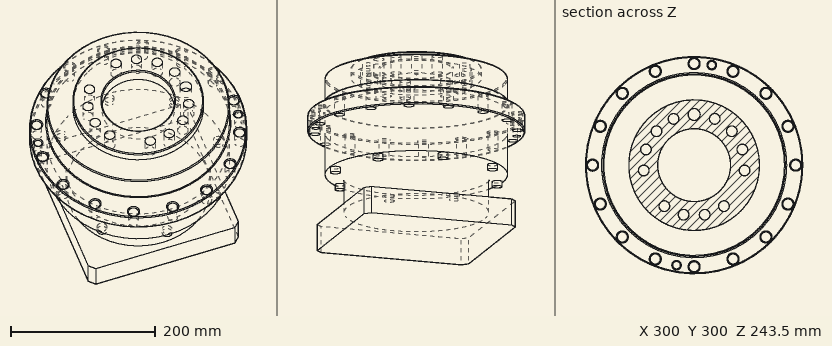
import cadquery as cq
import math

plate_top = 37.5
body_bottom = 91.8
flange_bottom = 152.5
flange_top = 177.3
rim_top = 193.0
body_top = 230.5
hub_top = 243.5

flange_radius = 150.0
rim_radius = 127.8
body_radius = 126.0
neck_radius = 100.0
hub_radius = 90.3
bore_radius = 50.0

edge_chamfer = 1.5
flange_root_fillet = 1.8
neck_root_fillet = 10.0

plate_side = 220.2

bore_depth = 20.0

hub_circle_radius = 70.0
hub_pitch_angle = 360 / 15
tapped_hole_pitches = (1, 2, 3, 4, 6, 7)
tapped_hole_radius = 7.2
tapped_hole_depth = 24.0
drill_tip_angle = 118
dowel_hole_radius = 8.0
dowel_hole_depth = 15.0

flange_circle_radius = 140.0
bolt_hole_count = 16
bolt_hole_radius = 7.0
jack_hole_radius = 5.0
jack_hole_angles = (80, 260)
hole_chamfer = 1.5

screw_count = 8
screw_circle_radius = 117.5
screw_radius = 7.0
screw_height = 7.2


def polar(radius, angle):
    """XY position on a circle about the Z axis, angle in degrees."""
    turn = math.radians(angle)
    return radius * math.cos(turn), radius * math.sin(turn)


def make_turned_body():
    """Neck, body, flange, rim and hub revolved about Z as one profile."""
    fillet_bulge = 1 - math.sqrt(0.5)
    neck_arc = neck_root_fillet * fillet_bulge
    flange_arc = flange_root_fillet * fillet_bulge
    profile = (
        cq.Workplane("XZ")
        .moveTo(0, plate_top)
        .lineTo(neck_radius, plate_top)
        .lineTo(neck_radius, body_bottom - neck_root_fillet)
        .threePointArc(
            (neck_radius + neck_arc, body_bottom - neck_arc),
            (neck_radius + neck_root_fillet, body_bottom),
        )
        .lineTo(body_radius, body_bottom)
        .lineTo(body_radius, flange_bottom - flange_root_fillet)
        .threePointArc(
            (body_radius + flange_arc, flange_bottom - flange_arc),
            (body_radius + flange_root_fillet, flange_bottom),
        )
        .lineTo(flange_radius - edge_chamfer, flange_bottom)
        .lineTo(flange_radius, flange_bottom + edge_chamfer)
        .lineTo(flange_radius, flange_top - edge_chamfer)
        .lineTo(flange_radius - edge_chamfer, flange_top)
        .lineTo(rim_radius + flange_root_fillet, flange_top)
        .threePointArc(
            (rim_radius + flange_arc, flange_top + flange_arc),
            (rim_radius, flange_top + flange_root_fillet),
        )
        .lineTo(rim_radius, rim_top)
        .lineTo(body_radius, rim_top)
        .lineTo(body_radius, body_top - edge_chamfer)
        .lineTo(body_radius - edge_chamfer, body_top)
        .lineTo(hub_radius, body_top)
        .lineTo(hub_radius, hub_top - edge_chamfer)
        .lineTo(hub_radius - edge_chamfer, hub_top)
        .lineTo(bore_radius + edge_chamfer, hub_top)
        .lineTo(bore_radius, hub_top - edge_chamfer)
        .lineTo(bore_radius, hub_top - bore_depth)
        .lineTo(0, hub_top - bore_depth)
        .close()
    )
    return profile.revolve(360, (0, 0, 0), (0, 1, 0))


def make_plate():
    """Square plate whose corners are trimmed by the flange cylinder."""
    square = cq.Workplane("XY").rect(plate_side, plate_side).extrude(plate_top)
    corner_cylinder = cq.Workplane("XY").circle(flange_radius).extrude(plate_top)
    return square.intersect(corner_cylinder)


def make_screw_heads():
    """Ring of plain round heads hanging from the underside of the body."""
    return (
        cq.Workplane("XY", origin=(0, 0, body_bottom - screw_height))
        .polarArray(screw_circle_radius, 0, 360, screw_count)
        .circle(screw_radius)
        .extrude(screw_height)
    )


def make_tapped_holes():
    """Drilled blind holes in the hub face, mirrored about the YZ plane."""
    tip_depth = tapped_hole_radius / math.tan(math.radians(drill_tip_angle / 2))
    drill = (
        cq.Workplane("XZ")
        .moveTo(0, hub_top)
        .lineTo(tapped_hole_radius, hub_top)
        .lineTo(tapped_hole_radius, hub_top - tapped_hole_depth)
        .lineTo(0, hub_top - tapped_hole_depth - tip_depth)
        .close()
        .revolve(360, (0, 0, 0), (0, 1, 0))
    )
    drills = cq.Workplane("XY")
    for pitch in tapped_hole_pitches:
        for side in (-1, 1):
            x, y = polar(hub_circle_radius, 90 + side * pitch * hub_pitch_angle)
            drills = drills.add(drill.translate((x, y, 0)))
    return drills.combine()


def make_dowel_hole():
    """Flat-bottomed hole in the hub face on the +Y side."""
    return (
        cq.Workplane("XY", origin=(0, hub_circle_radius, hub_top - dowel_hole_depth))
        .circle(dowel_hole_radius)
        .extrude(dowel_hole_depth)
    )


def make_flange_hole(radius, angle):
    """Through hole in the flange, chamfered at its upper mouth."""
    x, y = polar(flange_circle_radius, angle)
    mouth_radius = radius + hole_chamfer
    return (
        cq.Workplane("XZ")
        .moveTo(0, flange_bottom)
        .lineTo(radius, flange_bottom)
        .lineTo(radius, flange_top - hole_chamfer)
        .lineTo(mouth_radius, flange_top)
        .lineTo(0, flange_top)
        .close()
        .revolve(360, (0, 0, 0), (0, 1, 0))
        .translate((x, y, 0))
    )


result = make_turned_body().union(make_plate()).union(make_screw_heads())
result = result.cut(make_tapped_holes()).cut(make_dowel_hole())

for index in range(bolt_hole_count):
    result = result.cut(make_flange_hole(bolt_hole_radius, index * 360 / bolt_hole_count))
for jack_angle in jack_hole_angles:
    result = result.cut(make_flange_hole(jack_hole_radius, jack_angle))